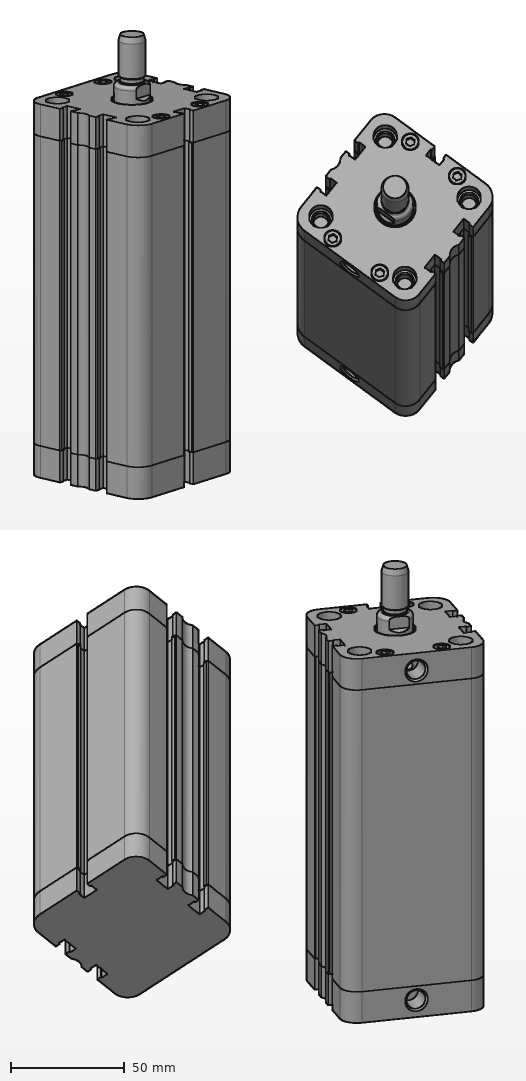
import cadquery as cq
import math

TOTAL_HEIGHT = 200.0
SIDE = 65.5
HALF_SIDE = SIDE / 2
CORNER_RADIUS = 7.8
CAP_HEIGHT = 14.5
ROD_PROJECTION = 29.5
BODY_HEIGHT = TOTAL_HEIGHT - ROD_PROJECTION
BARREL_HEIGHT = BODY_HEIGHT - 2 * CAP_HEIGHT
HEAD_CAP_BASE = BODY_HEIGHT - CAP_HEIGHT

SLOT_OFFSET = 10.5
CAP_SLOT_OPENING = 6.2
BARREL_SLOT_OPENING = 5.2
SLOT_WIDTH = 7.5
SLOT_LIP = 2.2
SLOT_DEPTH = 5.5

GROOVE_RADIUS = 5.0
GROOVE_CHORD = 6.5

MOUNT_PITCH = 46.5
MOUNT_BORE_DIAMETER = 10.5
MOUNT_BORE_DEPTH = 5.5
MOUNT_HOLE_DIAMETER = 6.8
MOUNT_CHAMFER_DIAMETER = 8.2
MOUNT_HOLE_DEPTH = 6.0

SCREW_PITCH_X = 56.0
SCREW_PITCH_Y = 26.0
SCREW_RECESS_DIAMETER = 7.5
SCREW_RECESS_DEPTH = 0.8
SCREW_HEAD_DIAMETER = 7.0
SCREW_HEAD_SINK = 0.2
SOCKET_FLATS = 3.5
SOCKET_DEPTH = 2.0

HEAD_PORT_INSET = 8.2
END_PORT_INSET = 8.0
PORT_DIAMETER = 8.5
PORT_RIM_DIAMETER = 10.5
PORT_DEPTH = 12.0
AIRWAY_DIAMETER = 3.5
AIRWAY_DROP = 2.0
AIRWAY_LENGTH = 6.0

ROD_DIAMETER = 16.0
WIPER_RIM_DIAMETER = 18.5
WIPER_RIM_DEPTH = 0.5
WIPER_DIAMETER = 17.5
WIPER_DEPTH = 1.2
THREAD_DIAMETER = 12.0
THREAD_CORE_DIAMETER = 10.5
THREAD_CHAMFER_HEIGHT = 2.8
THREAD_LENGTH = 18.8
UNDERCUT_TAPER = 0.5
UNDERCUT_FOOT_DIAMETER = 11.2
UNDERCUT_HEIGHT = 3.0
SHOULDER_RADIUS = 1.8
FLATS_WIDTH = 13.0
FLATS_HEIGHT = 5.5
FLATS_RUNOUT = 1.5


def slot_cutter(height, opening_width):
    """T-slot opening through the +Y side at X = 0."""
    opening = cq.Workplane("XY").rect(opening_width, 2 * SLOT_DEPTH).extrude(height)
    channel_depth = SLOT_DEPTH - SLOT_LIP
    channel = cq.Workplane("XY").center(0, -SLOT_LIP - channel_depth / 2)
    channel = channel.rect(SLOT_WIDTH, channel_depth).extrude(height)
    return opening.union(channel).translate((0, HALF_SIDE, 0))


def slot_bevel_cutter(height):
    """Bevel that widens the barrel slot mouth to the width of the cap slot mouth."""
    outer = CAP_SLOT_OPENING / 2
    inner = BARREL_SLOT_OPENING / 2
    bevel = outer - inner
    corners = [(-outer, 0), (-inner, -bevel), (inner, -bevel), (outer, 0)]
    return cq.Workplane("XY").polyline(corners).close().extrude(height).translate((0, HALF_SIDE, 0))


def groove_cutter(height):
    """Round groove along the middle of the +Y side."""
    axis_offset = math.sqrt(GROOVE_RADIUS**2 - (GROOVE_CHORD / 2) ** 2)
    return cq.Workplane("XY").center(0, HALF_SIDE + axis_offset).circle(GROOVE_RADIUS).extrude(height)


def profile_block(height, slot):
    """Length of the rounded square profile with its grooves and slots, standing on Z = 0."""
    block = cq.Workplane("XY").rect(SIDE, SIDE).extrude(height).edges("|Z").fillet(CORNER_RADIUS)
    groove = groove_cutter(height)
    for angle in (0, 180):
        for offset in (-SLOT_OFFSET, SLOT_OFFSET):
            side_slot = slot.translate((offset, 0, 0)).rotate((0, 0, 0), (0, 0, 1), angle)
            block = block.cut(side_slot)
        block = block.cut(groove.rotate((0, 0, 0), (0, 0, 1), angle))
    return block.cut(slot.rotate((0, 0, 0), (0, 0, 1), -90))


def cap_block():
    """Plain cap, standing on Z = 0."""
    return profile_block(CAP_HEIGHT, slot_cutter(CAP_HEIGHT, CAP_SLOT_OPENING))


def cone(base_diameter, top_diameter, height):
    """Solid cone standing on Z = 0."""
    return cq.Workplane(cq.Solid.makeCone(base_diameter / 2, top_diameter / 2, height))


def port_cutter(port_z):
    """Air port with a chamfered rim, entering from the -X face."""
    rim_depth = (PORT_RIM_DIAMETER - PORT_DIAMETER) / 2
    hole = cq.Workplane("XY").circle(PORT_DIAMETER / 2).extrude(PORT_DEPTH)
    rim = cone(PORT_RIM_DIAMETER, PORT_DIAMETER, rim_depth)
    port = hole.union(rim).rotate((0, 0, 0), (0, 1, 0), 90)
    return port.translate((-HALF_SIDE, 0, port_z))


def cut_at_corners(cap, cutter, pitch_x, pitch_y):
    """Cut a copy of the cutter at each corner of a rectangle on the top face."""
    for x in (-pitch_x / 2, pitch_x / 2):
        for y in (-pitch_y / 2, pitch_y / 2):
            cap = cap.cut(cutter.translate((x, y, BODY_HEIGHT)))
    return cap


def mounting_hole_cutter():
    """Counterbored blind hole with a chamfered edge, below Z = 0."""
    bore = cq.Workplane("XY").circle(MOUNT_BORE_DIAMETER / 2).extrude(-MOUNT_BORE_DEPTH)
    hole = cq.Workplane("XY").circle(MOUNT_HOLE_DIAMETER / 2).extrude(-MOUNT_BORE_DEPTH - MOUNT_HOLE_DEPTH)
    chamfer_depth = (MOUNT_CHAMFER_DIAMETER - MOUNT_HOLE_DIAMETER) / 2
    chamfer = cone(MOUNT_HOLE_DIAMETER, MOUNT_CHAMFER_DIAMETER, chamfer_depth)
    return bore.union(hole).union(chamfer.translate((0, 0, -MOUNT_BORE_DEPTH - chamfer_depth)))


def screw_head_cutter():
    """Recess around a bevelled screw head, with its hexagon socket, below Z = 0."""
    recess = cq.Workplane("XY").circle(SCREW_RECESS_DIAMETER / 2).extrude(-SCREW_RECESS_DEPTH)
    head_height = SCREW_RECESS_DEPTH - SCREW_HEAD_SINK
    head = cone(SCREW_RECESS_DIAMETER, SCREW_HEAD_DIAMETER, head_height).translate((0, 0, -SCREW_RECESS_DEPTH))
    corner_diameter = SOCKET_FLATS / math.cos(math.pi / 6)
    socket = cq.Workplane("XY").polygon(6, corner_diameter).extrude(-SOCKET_DEPTH)
    return recess.cut(head).union(socket.rotate((0, 0, 0), (0, 0, 1), 90))


def make_head_cap():
    """Cap that the rod passes through."""
    cap = cap_block().translate((0, 0, HEAD_CAP_BASE))
    cap = cut_at_corners(cap, mounting_hole_cutter(), MOUNT_PITCH, MOUNT_PITCH)
    cap = cut_at_corners(cap, screw_head_cutter(), SCREW_PITCH_X, SCREW_PITCH_Y)
    port_z = BODY_HEIGHT - HEAD_PORT_INSET
    cap = cap.cut(port_cutter(port_z))
    airway = cq.Workplane("YZ", origin=(PORT_DEPTH - HALF_SIDE, 0, port_z - AIRWAY_DROP))
    cap = cap.cut(airway.circle(AIRWAY_DIAMETER / 2).extrude(AIRWAY_LENGTH))
    cap = cap.cut(cq.Workplane("XY", origin=(0, 0, HEAD_CAP_BASE)).circle(ROD_DIAMETER / 2).extrude(CAP_HEIGHT))
    for diameter, depth in ((WIPER_RIM_DIAMETER, WIPER_RIM_DEPTH), (WIPER_DIAMETER, WIPER_DEPTH)):
        cap = cap.cut(cq.Workplane("XY", origin=(0, 0, BODY_HEIGHT)).circle(diameter / 2).extrude(-depth))
    return cap


def make_barrel():
    """Long middle section between the caps."""
    slot = slot_cutter(BARREL_HEIGHT, BARREL_SLOT_OPENING).union(slot_bevel_cutter(BARREL_HEIGHT))
    return profile_block(BARREL_HEIGHT, slot).translate((0, 0, CAP_HEIGHT))


def make_end_cap():
    """Closed cap at the bottom."""
    return cap_block().cut(port_cutter(END_PORT_INSET))


def make_rod():
    """Piston rod with two wrench flats, a thread undercut and a plain thread stub."""
    thread_bottom = TOTAL_HEIGHT - THREAD_LENGTH
    shoulder = thread_bottom - UNDERCUT_HEIGHT
    rod_r = ROD_DIAMETER / 2
    thread_r = THREAD_DIAMETER / 2
    core_r = THREAD_CORE_DIAMETER / 2
    arc_inset = SHOULDER_RADIUS * (1 - math.cos(math.pi / 4))
    outline = cq.Workplane("XZ").moveTo(0, HEAD_CAP_BASE).lineTo(rod_r, HEAD_CAP_BASE)
    outline = outline.lineTo(rod_r, shoulder - SHOULDER_RADIUS)
    outline = outline.threePointArc(
        (rod_r - arc_inset, shoulder - arc_inset), (rod_r - SHOULDER_RADIUS, shoulder)
    )
    outline = outline.lineTo(UNDERCUT_FOOT_DIAMETER / 2, shoulder).lineTo(core_r, shoulder + UNDERCUT_TAPER)
    outline = outline.lineTo(core_r, thread_bottom - UNDERCUT_TAPER).lineTo(thread_r, thread_bottom)
    outline = outline.lineTo(thread_r, TOTAL_HEIGHT - THREAD_CHAMFER_HEIGHT)
    outline = outline.lineTo(core_r, TOTAL_HEIGHT).lineTo(0, TOTAL_HEIGHT)
    rod = outline.close().revolve(360, (0, 0, 0), (0, 1, 0))
    flat = FLATS_WIDTH / 2
    runout = [
        (flat, shoulder),
        (flat, shoulder - FLATS_HEIGHT),
        (rod_r, shoulder - FLATS_HEIGHT - FLATS_RUNOUT),
        (rod_r, shoulder),
    ]
    cutter = cq.Workplane("XZ").polyline(runout).close().extrude(rod_r, both=True)
    return rod.cut(cutter).cut(cutter.mirror("YZ"))


head_cap = make_head_cap()
barrel = make_barrel()
end_cap = make_end_cap()
rod = make_rod()
result = cq.Compound.makeCompound([head_cap.val(), barrel.val(), end_cap.val(), rod.val()])